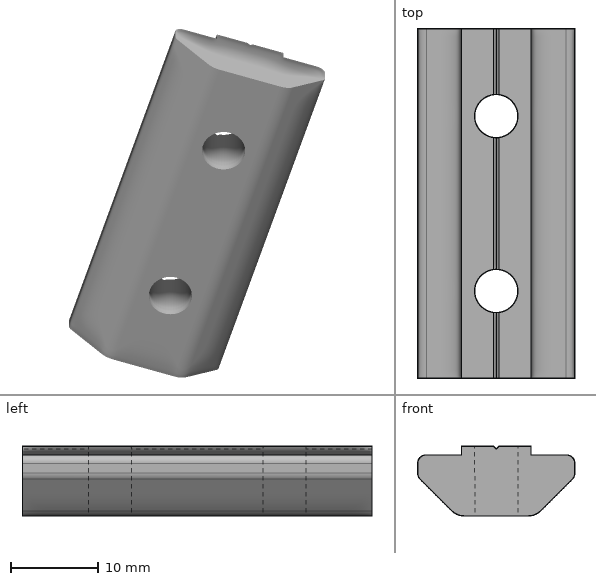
import cadquery as cq

length = 40.0
width = 18.0
height = 8.0

rib_width = 8.0
rib_height = 1.0
bottom_width = width / 2
flank_height = (width - bottom_width) / 2
shoulder_radius = 1.0
flank_radius = 1.0
bottom_radius = 2.0

groove_width = 0.65
groove_depth = groove_width / 2

hole_diameter = 4.9
hole_spacing = length / 2

shoulder_height = height - rib_height


def make_body():
    """Slot-nut bar along Y, with its underside at Z = 0."""
    half_profile = [
        (bottom_width / 2, 0),
        (width / 2, flank_height),
        (width / 2, shoulder_height),
    ]
    mirrored_profile = [(-x, z) for x, z in reversed(half_profile)]
    bar = (
        cq.Workplane("XZ")
        .polyline(half_profile + mirrored_profile)
        .close()
        .extrude(length / 2, both=True)
    )
    bar = round_edges(bar, shoulder_height, shoulder_radius)
    bar = round_edges(bar, flank_height, flank_radius)
    return round_edges(bar, 0, bottom_radius)


def round_edges(bar, edge_height, radius):
    """Round the pair of lengthwise edges at one height."""
    margin = 0.05
    pair = cq.selectors.BoxSelector(
        (-width, -length, edge_height - margin),
        (width, length, edge_height + margin),
    )
    return bar.edges("|Y").edges(pair).fillet(radius)


def make_rib():
    """Raised guide rib along the top."""
    return cq.Workplane("XY").workplane(offset=shoulder_height).rect(rib_width, length).extrude(rib_height)


def make_groove():
    """V-shaped cutter along the middle of the rib."""
    return (
        cq.Workplane("XZ")
        .moveTo(-groove_width / 2, height)
        .lineTo(0, height - groove_depth)
        .lineTo(groove_width / 2, height)
        .close()
        .extrude(length / 2, both=True)
    )


def make_holes():
    """Cutters for the two vertical through holes."""
    return (
        cq.Workplane("XY")
        .rarray(0.4, hole_spacing, 1, 2)
        .circle(hole_diameter / 2)
        .extrude(height)
    )


result = make_body().union(make_rib()).cut(make_groove()).cut(make_holes())